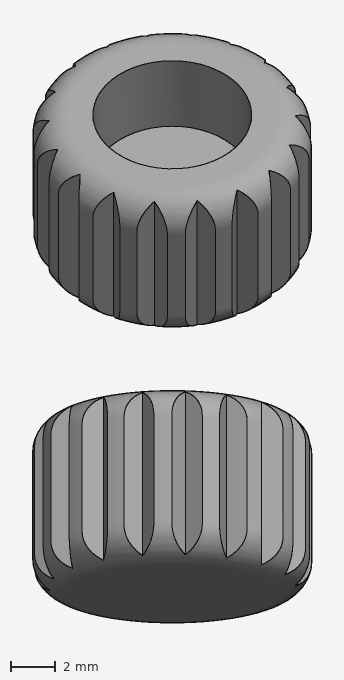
import cadquery as cq
import math

outer_diameter = 12.5
height = 8.0
edge_radius = 1.5
bore_diameter = 7.1
bore_depth = height / 2
groove_count = 18
groove_root_radius = 5.52
groove_angle = 90.0
groove_overshoot = 0.62

outer_radius = outer_diameter / 2


def knob_body():
    """Cylinder with both rims rounded."""
    return cq.Workplane("XY").circle(outer_radius).extrude(height).edges("%CIRCLE").fillet(edge_radius)


def groove_cutter(direction):
    """Full-height V prism opening outward at the given angle about Z."""
    opening_radius = outer_radius + groove_overshoot
    half_width = (opening_radius - groove_root_radius) * math.tan(math.radians(groove_angle / 2))
    prism = (
        cq.Workplane("XY")
        .moveTo(groove_root_radius, 0)
        .lineTo(opening_radius, half_width)
        .lineTo(opening_radius, -half_width)
        .close()
        .extrude(height)
    )
    return prism.rotate((0, 0, 0), (0, 0, 1), direction)


result = knob_body()

result = result.faces(">Z").workplane().hole(bore_diameter, bore_depth)

groove_pitch = 360 / groove_count
for index in range(groove_count):
    result = result.cut(groove_cutter((index + 0.5) * groove_pitch))